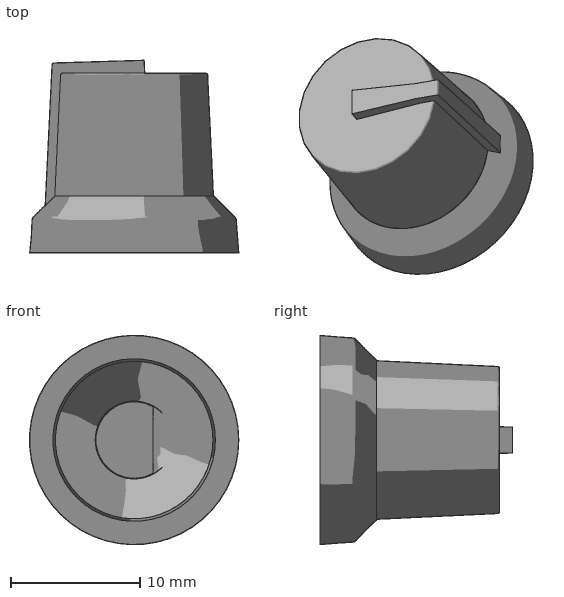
import cadquery as cq
import math


rim_radius = 8.1
rim_draft = 4.4
shoulder_top = 4.39
rim_fillet = 0.4

grip_top = 13.9
grip_base_radius = 6.14
grip_top_radius = 5.69
flat_count = 24
ridge_height = 0.042
grip_overlap = 0.32
grip_top_fillet = 0.16

pointer_top = 14.9
pointer_outer_top = 14.7
pointer_outer_radius = 6.35
pointer_foot = 3.24
pointer_floor = 12.96
pointer_root_radius = 4.86
pointer_end_x = 0.78
pointer_draft = 2.8
rib_width = 1.5
fan_width = 2.27
fan_start_x = -4.45
fan_end_x = 0.97
rib_side_draft = 0.5
pointer_corner_fillet = 0.16

mouth_radius = 6.29
mouth_inner_radius = 6.09
mouth_depth = 2.55
bore_radius = 3.01
bore_start = 4.25
bore_end = 11.34
bore_flat_x = 1.52
bore_draft = 0.4
bore_flat_fillet = 0.97


def tan_deg(angle):
    return math.tan(math.radians(angle))


def revolved(points):
    """Solid of revolution about Z from (radius, height) points."""
    return cq.Workplane("XZ").polyline(points).close().revolve(360, (0, 0), (0, 1))


def make_skirt():
    rim_slope = tan_deg(rim_draft)
    shoulder_radius = grip_base_radius + ridge_height
    corner_height = (shoulder_radius + shoulder_top - rim_radius) / (1 - rim_slope)
    corner_radius = rim_radius - corner_height * rim_slope
    skirt = revolved([
        (0, 0),
        (rim_radius, 0),
        (corner_radius, corner_height),
        (shoulder_radius, shoulder_top),
        (0, shoulder_top),
    ])
    return skirt.edges(cq.selectors.NearestToPointSelector((0, 0, corner_height))).fillet(rim_fillet)


def rounded_top(body):
    return body.faces(">Z").edges().fillet(grip_top_fillet)


def make_grip():
    slope = (grip_base_radius - grip_top_radius) / (grip_top - shoulder_top)
    start = shoulder_top - grip_overlap
    start_radius = grip_base_radius + slope * grip_overlap
    cone = revolved([
        (0, start),
        (start_radius + ridge_height, start),
        (grip_top_radius + ridge_height, grip_top),
        (0, grip_top),
    ])
    prism = (
        cq.Workplane("XY")
        .workplane(offset=start)
        .polygon(flat_count, 2 * start_radius, circumscribed=True)
        .extrude(grip_top - start, taper=math.degrees(math.atan(slope)))
    )
    return rounded_top(cone).intersect(rounded_top(prism))


def make_pointer():
    draft = tan_deg(pointer_draft)
    foot_radius = pointer_outer_radius + draft * (pointer_outer_top - pointer_foot)
    floor_end_x = pointer_end_x + draft * (pointer_top - pointer_floor)
    side = (
        cq.Workplane("XZ")
        .moveTo(-foot_radius, pointer_foot)
        .lineTo(-pointer_outer_radius, pointer_outer_top)
        .lineTo(pointer_end_x, pointer_top)
        .lineTo(floor_end_x, pointer_floor)
        .lineTo(-pointer_root_radius, pointer_floor)
        .lineTo(-pointer_root_radius, pointer_foot)
        .close()
        .extrude(fan_width, both=True)
        .edges("|Y")
        .edges(cq.selectors.NearestToPointSelector((-pointer_outer_radius, 0, pointer_outer_top)))
        .fillet(pointer_corner_fillet)
    )
    plan = (
        cq.Workplane("XY")
        .workplane(offset=pointer_foot)
        .moveTo(-rim_radius, rib_width / 2)
        .lineTo(fan_start_x, rib_width / 2)
        .lineTo(fan_end_x, fan_width / 2)
        .lineTo(fan_end_x, -fan_width / 2)
        .lineTo(fan_start_x, -rib_width / 2)
        .lineTo(-rim_radius, -rib_width / 2)
        .close()
        .extrude(pointer_top - pointer_foot, taper=rib_side_draft)
    )
    return side.intersect(plan)


def make_cavity():
    floor_slope = (bore_start - mouth_depth) / (mouth_inner_radius - bore_radius)
    apex = mouth_depth + floor_slope * mouth_inner_radius
    dish = revolved([
        (0, 0),
        (mouth_radius, 0),
        (mouth_inner_radius, mouth_depth),
        (0, apex),
    ])
    narrowing = tan_deg(bore_draft) * (bore_end - bore_start)
    bore = revolved([
        (0, mouth_depth),
        (bore_radius, mouth_depth),
        (bore_radius, bore_start),
        (bore_radius - narrowing, bore_end),
        (0, bore_end),
    ])
    flat_side = (
        cq.Workplane("XZ")
        .moveTo(bore_flat_x, bore_start)
        .lineTo(bore_flat_x - narrowing, bore_end)
        .lineTo(bore_radius, bore_end)
        .lineTo(bore_radius, mouth_depth)
        .lineTo(bore_flat_x, mouth_depth)
        .close()
        .extrude(bore_radius, both=True)
    )
    return dish.union(bore.cut(flat_side))


knob = make_skirt().union(make_grip()).union(make_pointer()).cut(make_cavity())
bore_lip = cq.selectors.NearestToPointSelector((bore_flat_x, 0, bore_start))
knob = knob.edges(bore_lip).fillet(bore_flat_fillet)

result = knob.rotate((0, 0, 0), (1, 0, 0), -90)